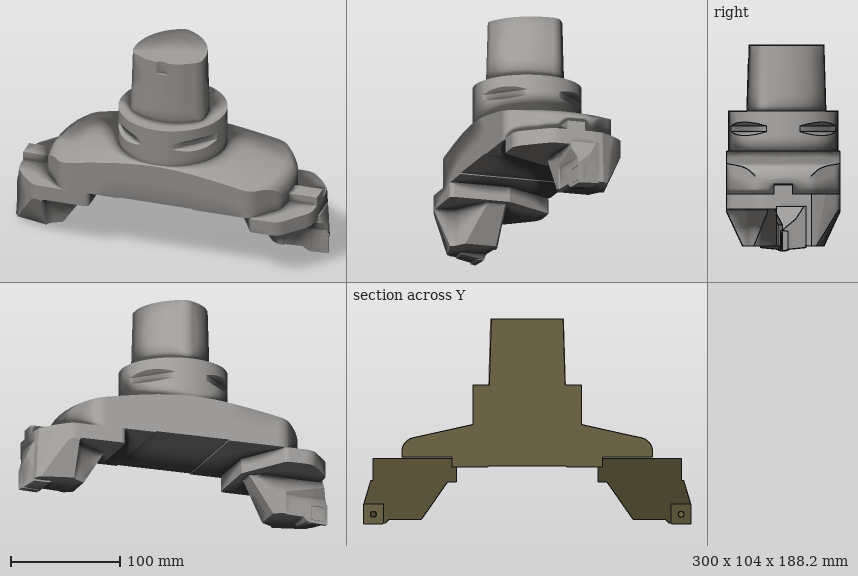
import cadquery as cq
import math

HUGE = 600.0

WIDTH = 104.0
HALF_WIDTH = WIDTH / 2
BRIDGE_END_RADIUS = 115.0
COLLAR_RADIUS = 100.0 / 2
COLLAR_BOTTOM = 39.3
COLLAR_TOP = 75.5
CONE_ANGLE = math.radians(12.6)
SHOULDER_RADIUS = 13.8
SHOULDER_BOTTOM = 13.8
BRIDGE_CORNER_RADIUS = 16.0
RELIEF_LENGTH = 71.5
RELIEF_DEPTH = 1.0

CHAMFER_X = 24.0
CHAMFER_Y = 29.0

SLOT_Z = 59.5
SLOT_FLOOR_DISTANCE = 44.5
SLOT_FLOOR_HEIGHT = 5.0
SLOT_MOUTH_HEIGHT = 12.3
SLOT_COUNT = 4
FIRST_SLOT_ANGLE = 45.0

SHANK_TOP = 136.0
LOBE_RADIUS = 39.0
LOBE_EDGE_RADIUS = 37.5
LOBE_EDGE_ANGLE = 10.5
FLANK_RADIUS = 33.3
SHANK_TAPER = 1.8
NOTCH_RADIUS = 7.2
NOTCH_AXIS_Y = -36.0
NOTCH_DEPTH = 12.0

PLATE_INNER_X = 64.5
PLATE_OUTER_X = 141.3
PLATE_BOTTOM = -13.8
PLATE_INNER_CHAMFER = 27.0
PLATE_INNER_CHAMFER_ANGLE = 60.0
PLATE_INNER_RADIUS = 4.5
PLATE_INNER_CHAMFER_RADIUS = 5.5
PLATE_SIDE_RADIUS = 16.0
PLATE_END_RADIUS = 21.0
KEY_INNER_X = 69.0
KEY_WIDTH = 17.0
KEY_HEIGHT = 8.0
KEYWAY_DEPTH = 9.0

BLOCK_BOTTOM = -47.7
ROOT_RADIUS = 3.0
STEP_X = 109.8
STEP_Y = 34.5
STEP_RADIUS = 8.5
ARM_SIDE_ANGLE = 30.0
ARM_INNER_TOP_X = 73.0
ARM_INNER_BOTTOM_X = 96.5
ARM_FACE_Y = -6.3
ARM_EDGE_TOP_X = 78.3
ARM_EDGE_BOTTOM_X = 104.5
ARM_EDGE_Y = -3.5
POCKET_X = 108.3
POCKET_FACE_Y = -6.0

BLADE_TOP = -11.7
BLADE_BOTTOM = -51.3
BLADE_INNER_X = 126.0
BLADE_RAMP = 4.0
BLADE_BACK_Y = 20.7

RAKE_ANGLE = 5.5
INSERT_SIZE = 18.5
INSERT_THICKNESS = 5.0
INSERT_CLEARANCE = 7.0
INSERT_OUTER_X = 150.0
INSERT_OUTER_Y = -0.5
INSERT_BOTTOM = -52.2
GROOVE_OUTER = 14.5
GROOVE_INNER = 12.5
GROOVE_DEPTH = 0.5
SCREW_DIAMETER = 4.8


def block(x_range, y_range, z_range):
    """Box between the given limits."""
    size = [high - low for low, high in (x_range, y_range, z_range)]
    corner = (x_range[0], y_range[0], z_range[0])
    return cq.Workplane("XY").box(*size, centered=False).translate(corner)


def half_space(a, b, c, toward):
    """Large block on one side of the plane through a, b and c: the side that `toward` points to."""
    start = cq.Vector(*a)
    normal = (cq.Vector(*b) - start).cross(cq.Vector(*c) - start)
    if normal.dot(cq.Vector(*toward)) < 0:
        normal = normal * -1
    plane = cq.Plane(origin=a, xDir=cq.Vector(*b) - start, normal=normal)
    return cq.Workplane(plane).rect(HUGE, HUGE).extrude(HUGE / 2)


def polar(radius, degrees):
    """X and Y of the point at this radius and angle."""
    angle = math.radians(degrees)
    return radius * math.cos(angle), radius * math.sin(angle)


def shank_outline(plane, inset):
    """Rounded triangle with one lobe toward +Y, made of three lobe arcs and three flank arcs."""
    lobe = LOBE_RADIUS - inset
    edge = LOBE_EDGE_RADIUS - inset
    flank = FLANK_RADIUS - inset
    outline = plane.moveTo(*polar(edge, 90 - LOBE_EDGE_ANGLE))
    for angle in (90, 210, 330):
        outline = outline.threePointArc(polar(lobe, angle), polar(edge, angle + LOBE_EDGE_ANGLE))
        outline = outline.threePointArc(polar(flank, angle + 60), polar(edge, angle + 120 - LOBE_EDGE_ANGLE))
    return outline.wire()


def make_shank():
    base = shank_outline(cq.Workplane("XY").workplane(offset=COLLAR_TOP), 0)
    top = base.workplane(offset=SHANK_TOP - COLLAR_TOP)
    shank = shank_outline(top, SHANK_TAPER).loft(ruled=True, combine=True)
    notch = (
        cq.Workplane("XY")
        .workplane(offset=SHANK_TOP - NOTCH_DEPTH)
        .center(0, NOTCH_AXIS_Y)
        .circle(NOTCH_RADIUS)
        .extrude(2 * NOTCH_DEPTH)
    )
    return shank.cut(notch)


def make_grip_slot():
    """Flat-bottomed slot with sloping flanks, across the collar on its +X side."""
    depth = COLLAR_RADIUS - SLOT_FLOOR_DISTANCE
    floor = SLOT_FLOOR_HEIGHT / 2
    mouth = SLOT_MOUTH_HEIGHT / 2
    return (
        cq.Workplane("XZ")
        .center(SLOT_FLOOR_DISTANCE, SLOT_Z)
        .polyline([(0, -floor), (depth, -mouth), (depth, mouth), (0, floor)])
        .close()
        .extrude(COLLAR_RADIUS, both=True)
    )


def make_collar():
    """Slotted collar, rooted inside the bridge."""
    collar = cq.Workplane("XY").workplane(offset=SHOULDER_BOTTOM)
    collar = collar.circle(COLLAR_RADIUS).extrude(COLLAR_TOP - SHOULDER_BOTTOM)
    slot = make_grip_slot()
    for index in range(SLOT_COUNT):
        angle = FIRST_SLOT_ANGLE + index * 360 / SLOT_COUNT
        collar = collar.cut(slot.rotate((0, 0, 0), (0, 0, 1), angle))
    return collar


def make_dome():
    """Round body whose conical top rolls over a shoulder into a vertical side."""
    shoulder_x = BRIDGE_END_RADIUS - SHOULDER_RADIUS
    shoulder_start = (
        shoulder_x + SHOULDER_RADIUS * math.sin(CONE_ANGLE),
        SHOULDER_BOTTOM + SHOULDER_RADIUS * math.cos(CONE_ANGLE),
    )
    middle_angle = (math.pi / 2 + CONE_ANGLE) / 2
    shoulder_middle = (
        shoulder_x + SHOULDER_RADIUS * math.sin(middle_angle),
        SHOULDER_BOTTOM + SHOULDER_RADIUS * math.cos(middle_angle),
    )
    return (
        cq.Workplane("XZ")
        .lineTo(BRIDGE_END_RADIUS, 0)
        .lineTo(BRIDGE_END_RADIUS, SHOULDER_BOTTOM)
        .threePointArc(shoulder_middle, shoulder_start)
        .lineTo(COLLAR_RADIUS, COLLAR_BOTTOM)
        .lineTo(0, COLLAR_BOTTOM)
        .close()
        .revolve(360, (0, 0, 0), (0, 1, 0))
    )


def make_bridge():
    side_x = BRIDGE_END_RADIUS - CHAMFER_X
    end_y = HALF_WIDTH - CHAMFER_Y
    corners = [
        (side_x, HALF_WIDTH),
        (BRIDGE_END_RADIUS, end_y),
        (BRIDGE_END_RADIUS, -end_y),
        (side_x, -HALF_WIDTH),
    ]
    corners += [(-x, -y) for x, y in corners]
    outline = cq.Workplane("XY").polyline(corners).close().extrude(COLLAR_BOTTOM)
    round_blank = cq.Workplane("XY").circle(BRIDGE_END_RADIUS).extrude(COLLAR_BOTTOM)
    outline = outline.intersect(round_blank).edges("|Z").fillet(BRIDGE_CORNER_RADIUS)
    half_relief = RELIEF_LENGTH / 2
    relief = block((-half_relief, half_relief), (-WIDTH, WIDTH), (0, RELIEF_DEPTH))
    bridge = outline.intersect(make_dome()).cut(relief)
    keyway = block((KEY_INNER_X, PLATE_OUTER_X), (-KEY_WIDTH / 2, KEY_WIDTH / 2), (0, KEYWAY_DEPTH))
    for angle in (0, 180):
        bridge = bridge.cut(keyway.rotate((0, 0, 0), (0, 0, 1), angle))
    return bridge


def make_holder():
    return make_bridge().union(make_collar()).union(make_shank())


def insert_plane():
    """Plane of the insert's cutting face, with its origin at the centre of the face."""
    half = INSERT_SIZE / 2
    angle = math.radians(RAKE_ANGLE)
    along = cq.Vector(math.cos(angle), math.sin(angle), 0)
    outer = cq.Vector(INSERT_OUTER_X, INSERT_OUTER_Y, INSERT_BOTTOM + half)
    normal = cq.Vector(math.sin(angle), -math.cos(angle), 0)
    return cq.Plane(origin=outer - along * half, xDir=along, normal=normal)


def make_insert_blank():
    blank = cq.Workplane(insert_plane()).rect(INSERT_SIZE, INSERT_SIZE)
    return blank.extrude(-INSERT_THICKNESS, taper=INSERT_CLEARANCE)


def make_screw():
    return cq.Workplane(insert_plane()).circle(SCREW_DIAMETER / 2).extrude(-INSERT_THICKNESS)


def make_insert():
    groove = (
        cq.Workplane(insert_plane())
        .rect(GROOVE_OUTER, GROOVE_OUTER)
        .rect(GROOVE_INNER, GROOVE_INNER)
        .extrude(-GROOVE_DEPTH)
    )
    return make_insert_blank().cut(groove).cut(make_screw())


BACK_CHAMFER_START = (117.5, HALF_WIDTH)
BACK_CHAMFER_END = (144.0, 25.8)
END_STEP_START = (PLATE_OUTER_X, 20.0)
END_STEP_END = (143.0, BLADE_BACK_Y)
CORNER_FACE = ((130.5, 39.3, 0), (139.8, 25.8, 0), (139.5, 30.3, BLOCK_BOTTOM))
END_FACE = ((PLATE_OUTER_X, 16.0, 0), (139.8, 25.8, 0), (142.5, 25.8, BLOCK_BOTTOM))
SIDE_FACE = ((STEP_X, HALF_WIDTH, -16.0), (STEP_X, 37.2, BLOCK_BOTTOM), (139.5, 30.3, BLOCK_BOTTOM))

BLADE_UPPER_FACET = ((143.0, 0, BLADE_TOP), (143.0, 18.5, BLADE_TOP), (149.0, 1.0, -31.8))
BLADE_LOWER_FACET = ((149.0, 1.0, -31.8), (146.5, 11.7, -22.5), (143.0, 20.7, -39.3))
BLADE_BACK_FACET = ((143.0, 18.5, BLADE_TOP), (146.5, 11.7, -22.5), (143.0, 20.7, -39.3))
BLADE_BOTTOM_FACE = (
    (BLADE_INNER_X, 0, BLADE_BOTTOM),
    (INSERT_OUTER_X, 0, BLADE_BOTTOM),
    (BLADE_INNER_X, BLADE_BACK_Y, -49.2),
)

OVERHANG_TOP_INNER = (POCKET_X, POCKET_FACE_Y, -26.0)
OVERHANG_TOP_OUTER = (144.0, POCKET_FACE_Y, -19.0)
OVERHANG_FOOT_Z = -28.8


def make_cartridge_body():
    """Plate outline carried down to the underside of the block, with the sloping back corner."""
    end_y = HALF_WIDTH - CHAMFER_Y
    inner_run = PLATE_INNER_CHAMFER * math.tan(math.radians(PLATE_INNER_CHAMFER_ANGLE))
    inner_corner = (PLATE_INNER_X, HALF_WIDTH)
    inner_chamfer_end = (PLATE_INNER_X + PLATE_INNER_CHAMFER, -HALF_WIDTH)
    front_side = (PLATE_OUTER_X - CHAMFER_X, -HALF_WIDTH)
    front_end = (PLATE_OUTER_X, -end_y)
    corners = [
        inner_corner,
        BACK_CHAMFER_START,
        BACK_CHAMFER_END,
        END_STEP_END,
        END_STEP_START,
        front_end,
        front_side,
        inner_chamfer_end,
        (PLATE_INNER_X, -HALF_WIDTH + inner_run),
    ]
    body = cq.Workplane("XY").polyline(corners).close().extrude(BLOCK_BOTTOM)

    def round_corner(solid, point, radius):
        edge = cq.selectors.NearestToPointSelector((point[0], point[1], BLOCK_BOTTOM / 2))
        return solid.edges("|Z").edges(edge).fillet(radius)

    body = round_corner(body, inner_corner, PLATE_INNER_RADIUS)
    body = round_corner(body, inner_chamfer_end, PLATE_INNER_CHAMFER_RADIUS)
    body = round_corner(body, BACK_CHAMFER_START, PLATE_SIDE_RADIUS)
    body = round_corner(body, front_side, PLATE_SIDE_RADIUS)
    body = round_corner(body, front_end, PLATE_END_RADIUS)
    body = body.cut(half_space(*CORNER_FACE, toward=(1, 1, 0)))
    body = body.cut(half_space(*END_FACE, toward=(1, 0, 0)))
    return body.cut(half_space(*SIDE_FACE, toward=(0, 1, -1)))


def make_back_clearance():
    """Space behind the arm, with a rounded inside corner and a rounded root under the plate."""
    slope = math.tan(math.radians(ARM_SIDE_ANGLE))
    inner_x = 0
    inner_y = STEP_Y - STEP_X * slope
    space = cq.Workplane("XY").workplane(offset=PLATE_BOTTOM)
    space = space.polyline([(STEP_X, WIDTH), (STEP_X, STEP_Y), (inner_x, inner_y), (inner_x, WIDTH)]).close()
    space = space.extrude(2 * BLOCK_BOTTOM)
    corner = cq.selectors.NearestToPointSelector((STEP_X, STEP_Y, BLOCK_BOTTOM))
    space = space.edges("|Z").edges(corner).fillet(STEP_RADIUS)
    return space.faces(">Z").edges().fillet(ROOT_RADIUS)


def make_arm_clearances():
    """Space in front of the arm, and the sloping planes that end it on the inner side."""
    front = block((0, POCKET_X), (-WIDTH, ARM_FACE_Y), (2 * BLOCK_BOTTOM, PLATE_BOTTOM))
    front = front.faces(">Z").edges(">Y").fillet(ROOT_RADIUS)
    under_plate = block((0, HUGE), (-WIDTH, WIDTH), (2 * BLOCK_BOTTOM, PLATE_BOTTOM))
    inner_end = half_space(
        (ARM_INNER_TOP_X, 0, PLATE_BOTTOM),
        (ARM_INNER_BOTTOM_X, 0, BLOCK_BOTTOM),
        (ARM_INNER_TOP_X, 3, PLATE_BOTTOM),
        toward=(-1, 0, -1),
    )
    inner_edge = half_space(
        (ARM_EDGE_TOP_X, ARM_FACE_Y, PLATE_BOTTOM),
        (ARM_EDGE_BOTTOM_X, ARM_FACE_Y, BLOCK_BOTTOM),
        (ARM_INNER_TOP_X, ARM_EDGE_Y, PLATE_BOTTOM),
        toward=(-1, -1, -1),
    )
    return [front, inner_end.intersect(under_plate), inner_edge.intersect(under_plate)]


def make_blade():
    profile = [
        (BLADE_INNER_X, BLADE_TOP),
        (BLADE_INNER_X, BLOCK_BOTTOM),
        (BLADE_INNER_X + BLADE_RAMP, BLADE_BOTTOM),
        (INSERT_OUTER_X, BLADE_BOTTOM),
        (INSERT_OUTER_X, BLADE_TOP),
    ]
    blade = cq.Workplane("XZ", origin=(0, POCKET_FACE_Y, 0)).polyline(profile).close()
    blade = blade.extrude(POCKET_FACE_Y - BLADE_BACK_Y)
    for facet in (BLADE_UPPER_FACET, BLADE_LOWER_FACET, BLADE_BACK_FACET):
        blade = blade.cut(half_space(*facet, toward=(1, 0, 0)))
    return blade.cut(half_space(*BLADE_BOTTOM_FACE, toward=(0, 0, -1)))


def make_pocket():
    """Open chip space in front of the blade, undercut down to the plane of the insert's face."""
    chip_space = block((POCKET_X, HUGE), (-WIDTH, POCKET_FACE_Y), (2 * BLOCK_BOTTOM, PLATE_BOTTOM))
    foot_y = INSERT_OUTER_Y - (INSERT_OUTER_X - POCKET_X) * math.tan(math.radians(RAKE_ANGLE))
    overhang_foot = (POCKET_X, foot_y, OVERHANG_FOOT_Z)
    undercut = cq.Workplane(insert_plane()).rect(HUGE, HUGE).extrude(HUGE / 2)
    below = half_space(OVERHANG_TOP_INNER, OVERHANG_TOP_OUTER, overhang_foot, toward=(0, 0, -1))
    undercut = undercut.intersect(below)
    undercut = undercut.intersect(block((POCKET_X, HUGE), (-WIDTH, WIDTH), (2 * BLOCK_BOTTOM, PLATE_BOTTOM)))
    return chip_space.union(undercut)


def make_cartridge():
    cartridge = make_cartridge_body().cut(make_back_clearance())
    for space in make_arm_clearances():
        cartridge = cartridge.cut(space)
    key = block((KEY_INNER_X, PLATE_OUTER_X), (-KEY_WIDTH / 2, KEY_WIDTH / 2), (PLATE_BOTTOM, KEY_HEIGHT))
    cartridge = cartridge.union(make_blade()).cut(make_pocket()).union(key)
    return cartridge.cut(make_insert_blank())


def place_pair(shape):
    """The solid as modelled at the +X end, and its copy turned half a turn about the tool axis."""
    return [shape.rotate((0, 0, 0), (0, 0, 1), turn).solids().val() for turn in (0, 180)]


holder = make_holder().solids().val()
cartridges = place_pair(make_cartridge())
inserts = place_pair(make_insert())
screws = place_pair(make_screw())

result = cq.Compound.makeCompound([holder, *cartridges, *inserts, *screws])